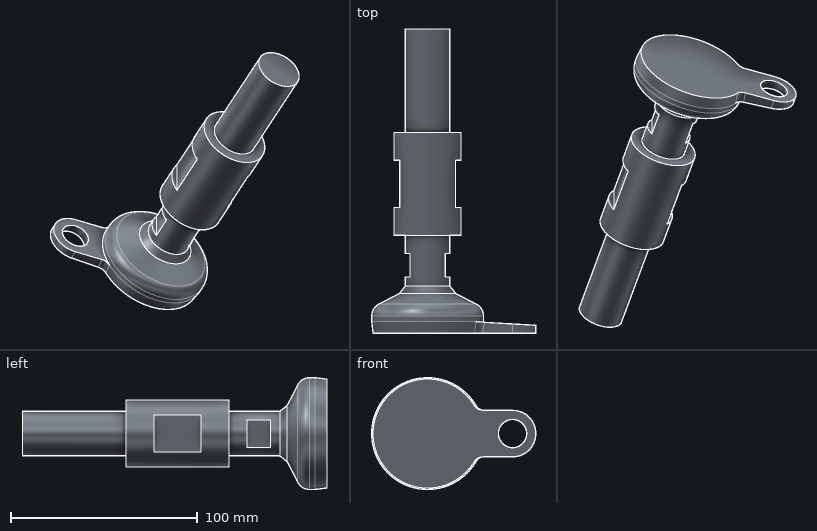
import cadquery as cq
import math

TOTAL_LENGTH = 163.0

PAD_BASE_RADIUS = 29.2
PAD_RADIUS = 30.0
PAD_TAPER_TOP = 6.4
PAD_RIM_TOP = 9.3
PAD_SHOULDER_RADIUS = 7.2
NECK_TOP = 25.3
NECK_BASE_RADIUS = 15.2
NECK_BASE_HEIGHT = 21.3

LUG_RADIUS = 12.5
LUG_CENTER = 45.5
LUG_HOLE_DIAMETER = 15.0
LUG_ROOT_HEIGHT = 6.0
LUG_TIP_HEIGHT = 4.4
LUG_ROOT_FILLET = 5.0

SPINDLE_RADIUS = 12.0
SPINDLE_ACROSS_FLATS = 19.0
SPINDLE_FLAT_START = 30.2
SPINDLE_FLAT_LENGTH = 12.5

SLEEVE_RADIUS = 18.0
SLEEVE_START = 52.4
SLEEVE_LENGTH = 55.2
SLEEVE_ACROSS_FLATS = 30.0
SLEEVE_FLAT_LENGTH = 25.2


def cut_flats(body, radius, across_flats, start, length):
    """Cut two opposite wrench flats, facing -X and +X, into a round body."""
    depth = radius - across_flats / 2
    for side in (-1, 1):
        cutter = cq.Workplane("XY").box(depth, length, 2 * radius)
        offset = side * (across_flats + depth) / 2
        body = body.cut(cutter.translate((offset, start + length / 2, 0)))
    return body


def make_turned_foot():
    """Revolve the pad and spindle as one profile, X being the radius."""
    shoulder_center_x = PAD_RADIUS - PAD_SHOULDER_RADIUS

    neck_base_dx = NECK_BASE_RADIUS - shoulder_center_x
    neck_base_dy = NECK_BASE_HEIGHT - PAD_RIM_TOP
    neck_base_distance = math.hypot(neck_base_dx, neck_base_dy)
    tangent_angle = math.atan2(neck_base_dy, neck_base_dx) - math.acos(
        PAD_SHOULDER_RADIUS / neck_base_distance
    )

    def shoulder_point(angle):
        return (
            shoulder_center_x + PAD_SHOULDER_RADIUS * math.cos(angle),
            PAD_RIM_TOP + PAD_SHOULDER_RADIUS * math.sin(angle),
        )

    return (
        cq.Workplane("XY")
        .moveTo(0, 0)
        .lineTo(PAD_BASE_RADIUS, 0)
        .lineTo(PAD_RADIUS, PAD_TAPER_TOP)
        .lineTo(PAD_RADIUS, PAD_RIM_TOP)
        .threePointArc(shoulder_point(tangent_angle / 2), shoulder_point(tangent_angle))
        .lineTo(NECK_BASE_RADIUS, NECK_BASE_HEIGHT)
        .lineTo(SPINDLE_RADIUS, NECK_TOP)
        .lineTo(SPINDLE_RADIUS, TOTAL_LENGTH)
        .lineTo(0, TOTAL_LENGTH)
        .close()
        .revolve(360, (0, 0, 0), (0, 1, 0))
    )


def make_lug():
    """Lug outline extruded along Y, trimmed by a side profile that thins toward the tip."""
    tip = LUG_CENTER + LUG_RADIUS
    outline = (
        cq.Workplane("XZ")
        .moveTo(0, -LUG_RADIUS)
        .lineTo(LUG_CENTER, -LUG_RADIUS)
        .threePointArc((tip, 0), (LUG_CENTER, LUG_RADIUS))
        .lineTo(0, LUG_RADIUS)
        .close()
        .extrude(-PAD_TAPER_TOP)
    )
    slope = (LUG_ROOT_HEIGHT - LUG_TIP_HEIGHT) / (tip - PAD_RADIUS)
    inner = SPINDLE_RADIUS
    side_profile = (
        cq.Workplane("XY")
        .moveTo(inner, 0)
        .lineTo(tip, 0)
        .lineTo(tip, LUG_TIP_HEIGHT)
        .lineTo(inner, LUG_TIP_HEIGHT + slope * (tip - inner))
        .close()
        .extrude(LUG_RADIUS, both=True)
    )
    return outline.intersect(side_profile)


def make_foot():
    foot = make_turned_foot().union(make_lug())
    for side in (-1, 1):
        root_x = math.sqrt(PAD_BASE_RADIUS**2 - LUG_RADIUS**2)
        root_point = (root_x, LUG_ROOT_HEIGHT / 2, side * LUG_RADIUS)
        foot = foot.edges(cq.selectors.NearestToPointSelector(root_point)).fillet(LUG_ROOT_FILLET)
    hole = (
        cq.Workplane("XZ")
        .center(LUG_CENTER, 0)
        .circle(LUG_HOLE_DIAMETER / 2)
        .extrude(-PAD_TAPER_TOP)
    )
    foot = foot.cut(hole)
    return cut_flats(foot, SPINDLE_RADIUS, SPINDLE_ACROSS_FLATS, SPINDLE_FLAT_START, SPINDLE_FLAT_LENGTH)


def make_sleeve():
    sleeve = (
        cq.Workplane("XZ", origin=(0, SLEEVE_START, 0))
        .circle(SLEEVE_RADIUS)
        .circle(SPINDLE_RADIUS)
        .extrude(-SLEEVE_LENGTH)
    )
    flat_start = SLEEVE_START + (SLEEVE_LENGTH - SLEEVE_FLAT_LENGTH) / 2
    return cut_flats(sleeve, SLEEVE_RADIUS, SLEEVE_ACROSS_FLATS, flat_start, SLEEVE_FLAT_LENGTH)


foot = make_foot()
sleeve = make_sleeve()

result = cq.Compound.makeCompound([foot.val(), sleeve.val()])